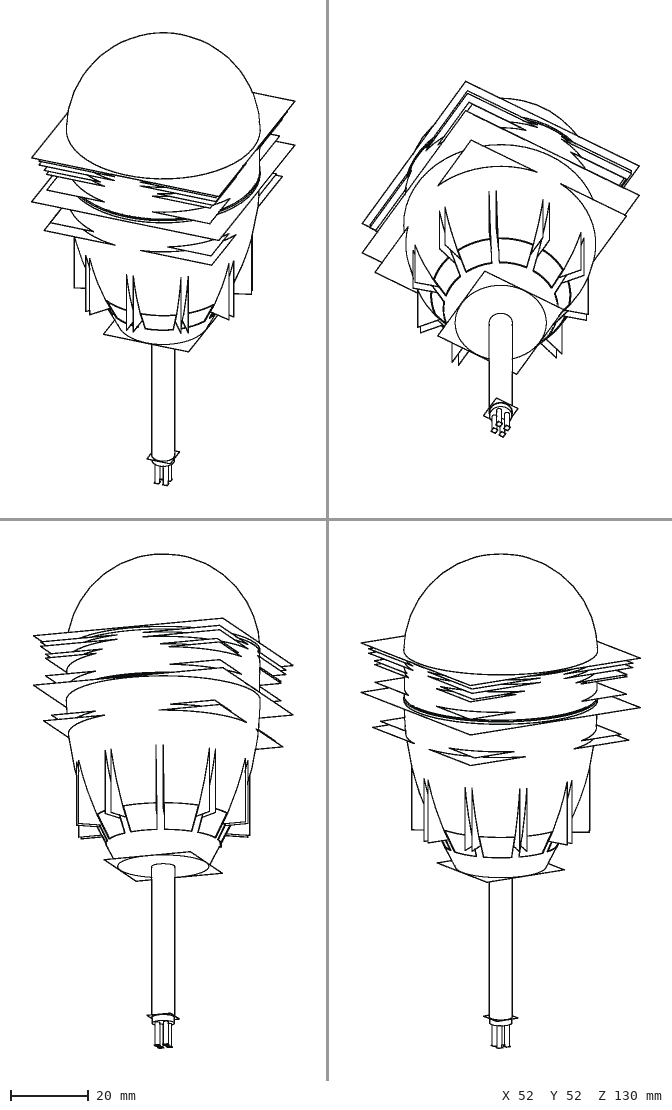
import cadquery as cq
import math

TOTAL_HEIGHT = 130.0
SHELL_RADIUS = 25.0
SHEET = 0.06

EQUATOR_Z = TOTAL_HEIGHT - SHELL_RADIUS
BAND_TOP_Z = 104.4
BAND_BOTTOM_Z = 92.9
BAND_RADIUS = SHELL_RADIUS - 0.1
GROOVE_HEIGHT = 0.4
GROOVE_DEPTH = 0.4
WAIST_TOP_Z = 91.9
WAIST_ARC_RADIUS = 76.7
CONE_TOP_Z = 60.0
CONE_BOTTOM_Z = 47.7
CONE_BOTTOM_RADIUS = 11.7

SHELL_PLATES = [
    (EQUATOR_Z, 26.0, 26.0),
    (103.6, 24.5, 24.5),
    (102.4, 24.5, 24.5),
    (100.5, 23.5, 23.5),
    (99.7, 22.7, 23.9),
    (95.0, 22.6, 23.9),
    (WAIST_TOP_Z, 26.0, 26.0),
    (84.5, 22.4, 22.4),
    (82.9, 23.3, 24.2),
    (CONE_BOTTOM_Z, 11.8, 11.8),
]

BAR_COUNT = 10
BAR_WIDTH = 2.0
WINDOW_TOP_Z = CONE_TOP_Z
WINDOW_BOTTOM_Z = 53.8
WINDOW_DEPTH = 0.3
FIN_INNER_RADIUS = 13.0
FIN_OUTER_RADIUS = 22.9
FIN_BOTTOM_Z = 57.3
FIN_TOP_Z = 74.1

JACKET_RADIUS = 3.0
JACKET_TIP_RADIUS = 2.9
JACKET_TIP_TOP_Z = 7.7
JACKET_BOTTOM_Z = 6.1
JACKET_PLATE_HALF = 3.2
WIRE_RADIUS = 0.6
WIRE_OFFSET = 1.2


def waist_radius(z):
    """Radius of the waist, an arc that leaves the straight band tangentially."""
    drop = WAIST_TOP_Z - z
    return SHELL_RADIUS - WAIST_ARC_RADIUS + math.sqrt(WAIST_ARC_RADIUS**2 - drop**2)


def cone_radius(z):
    slope = (waist_radius(CONE_TOP_Z) - CONE_BOTTOM_RADIUS) / (CONE_TOP_Z - CONE_BOTTOM_Z)
    return CONE_BOTTOM_RADIUS + slope * (z - CONE_BOTTOM_Z)


def revolve_about_z(profile):
    return profile.close().revolve(360, (0, 0, 0), (0, 1, 0))


def square_plate(bottom_z, half_x, half_y):
    return cq.Workplane("XY", origin=(0, 0, bottom_z)).rect(2 * half_x, 2 * half_y).extrude(SHEET)


def make_shell():
    """Solid of revolution from the cone's flat bottom up to the dome's pole."""
    waist_middle_z = (WAIST_TOP_Z + CONE_TOP_Z) / 2
    dome_middle = SHELL_RADIUS * math.sqrt(0.5)
    groove_radius = BAND_RADIUS - GROOVE_DEPTH
    groove_bottom_z = BAND_BOTTOM_Z - GROOVE_HEIGHT
    profile = (
        cq.Workplane("XZ")
        .moveTo(0, CONE_BOTTOM_Z)
        .lineTo(CONE_BOTTOM_RADIUS, CONE_BOTTOM_Z)
        .lineTo(waist_radius(CONE_TOP_Z), CONE_TOP_Z)
        .threePointArc((waist_radius(waist_middle_z), waist_middle_z), (SHELL_RADIUS, WAIST_TOP_Z))
        .lineTo(SHELL_RADIUS, groove_bottom_z)
        .lineTo(groove_radius, groove_bottom_z)
        .lineTo(groove_radius, BAND_BOTTOM_Z)
        .lineTo(BAND_RADIUS, BAND_BOTTOM_Z)
        .lineTo(BAND_RADIUS, BAND_TOP_Z)
        .lineTo(SHELL_RADIUS, BAND_TOP_Z)
        .lineTo(SHELL_RADIUS, EQUATOR_Z)
        .threePointArc((dome_middle, EQUATOR_Z + dome_middle), (0, TOTAL_HEIGHT))
    )
    return revolve_about_z(profile)


def at_each_bar(shape):
    """Copies of a shape made on the +Y bar, one for every bar around Z."""
    return [shape.rotate((0, 0, 0), (0, 0, 1), i * 360 / BAR_COUNT) for i in range(BAR_COUNT)]


def make_window_cutter():
    """Shallow ring that follows the shell, interrupted by the bars."""
    outside = FIN_OUTER_RADIUS
    ring = revolve_about_z(
        cq.Workplane("XZ")
        .moveTo(outside, WINDOW_BOTTOM_Z)
        .lineTo(cone_radius(WINDOW_BOTTOM_Z) - WINDOW_DEPTH, WINDOW_BOTTOM_Z)
        .lineTo(cone_radius(WINDOW_TOP_Z) - WINDOW_DEPTH, WINDOW_TOP_Z)
        .lineTo(outside, WINDOW_TOP_Z)
    )
    bar = (
        cq.Workplane("XY", origin=(0, outside / 2, WINDOW_BOTTOM_Z))
        .rect(BAR_WIDTH, outside)
        .extrude(WINDOW_TOP_Z - WINDOW_BOTTOM_Z)
    )
    for copy in at_each_bar(bar):
        ring = ring.cut(copy)
    return ring


def make_fin_pair():
    """Two thin upright fins, flush with the two sides of the +Y bar."""
    side = (BAR_WIDTH - SHEET) / 2
    return (
        cq.Workplane("XY", origin=(0, (FIN_INNER_RADIUS + FIN_OUTER_RADIUS) / 2, FIN_BOTTOM_Z))
        .pushPoints([(-side, 0), (side, 0)])
        .rect(SHEET, FIN_OUTER_RADIUS - FIN_INNER_RADIUS)
        .extrude(FIN_TOP_Z - FIN_BOTTOM_Z)
    )


def make_housing():
    housing = make_shell().cut(make_window_cutter())
    for fin_pair in at_each_bar(make_fin_pair()):
        housing = housing.union(fin_pair)
    for bottom_z, half_x, half_y in SHELL_PLATES:
        housing = housing.union(square_plate(bottom_z, half_x, half_y))
    return housing


def make_jacket():
    """Cable hanging from the cone, with a small plate above its slightly slimmer tip."""
    tip = (
        cq.Workplane("XY", origin=(0, 0, JACKET_BOTTOM_Z))
        .circle(JACKET_TIP_RADIUS)
        .extrude(JACKET_TIP_TOP_Z - JACKET_BOTTOM_Z)
    )
    cable = (
        cq.Workplane("XY", origin=(0, 0, JACKET_TIP_TOP_Z))
        .circle(JACKET_RADIUS)
        .extrude(CONE_BOTTOM_Z - JACKET_TIP_TOP_Z)
    )
    plate = square_plate(JACKET_TIP_TOP_Z, JACKET_PLATE_HALF, JACKET_PLATE_HALF)
    return cable.union(tip).union(plate)


def make_wire(x, y):
    """Round wire from the jacket's end down to a thin square end plate."""
    wire = cq.Workplane("XY").circle(WIRE_RADIUS).extrude(JACKET_BOTTOM_Z)
    return wire.union(square_plate(0, WIRE_RADIUS, WIRE_RADIUS)).translate((x, y, 0))


housing = make_housing()
jacket = make_jacket()
wires = [
    make_wire(x, y)
    for x in (-WIRE_OFFSET, WIRE_OFFSET)
    for y in (-WIRE_OFFSET, WIRE_OFFSET)
]

result = cq.Compound.makeCompound([housing.val(), jacket.val(), *[wire.val() for wire in wires]])